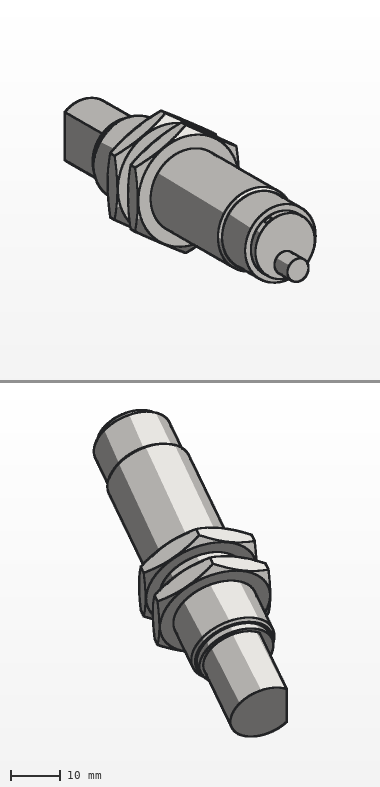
import cadquery as cq
import math

head_end = 15.8
collar_end = 17.3
body_end = 67.2
cap_end = 76.2
disc_end = 78.0
cable_end = 83.08

head_radius = 7.2
collar_radius = 8.0
body_radius = 9.0
cap_radius = 8.35
disc_radius = 7.0
body_chamfer = 0.6

flat_offset = 5.0

first_nut_start = 28.25
nut_pitch = 8.0
nut_count = 2
nut_thickness = 4.0
nut_across_flats = 24.0
hexagon_sides = 6
hexagon_half_angle = 180.0 / hexagon_sides
nut_face_diameter = 23.8
nut_chamfer_angle = 30.0

cable_radius = 2.5
cable_drop = 3.6

indicator_radius = 0.75
indicator_depth = 0.1
indicator_angle = 30.0


def cylinder_x(start, end, radius):
    """Solid cylinder on the X axis between two stations."""
    return cq.Workplane("YZ").workplane(offset=start).circle(radius).extrude(end - start)


def make_head():
    """Round sensing head with one flat facing -Y."""
    head = cylinder_x(0, head_end, head_radius)
    keep_width = flat_offset + head_radius
    keep = cq.Workplane("XY").box(
        head_end, keep_width, 2 * head_radius, centered=(False, False, True)
    )
    return head.intersect(keep.translate((0, -flat_offset, 0)))


def make_body():
    """Main barrel with both rims chamfered."""
    return cylinder_x(collar_end, body_end, body_radius).faces("<X or >X").chamfer(body_chamfer)


def make_nut(start):
    """Hex nut with corners along Z and its corners bevelled on both faces."""
    corner_radius = nut_across_flats / 2 / math.cos(math.radians(hexagon_half_angle))
    bevel_radius = nut_face_diameter / 2
    bevel_depth = (corner_radius - bevel_radius) * math.tan(math.radians(nut_chamfer_angle))
    hexagon = (
        cq.Workplane("YZ")
        .polygon(hexagon_sides, 2 * corner_radius)
        .extrude(nut_thickness)
        .rotate((0, 0, 0), (1, 0, 0), hexagon_half_angle)
    )
    envelope = (
        cq.Workplane("XY")
        .moveTo(0, 0)
        .lineTo(0, bevel_radius)
        .lineTo(bevel_depth, corner_radius)
        .lineTo(nut_thickness - bevel_depth, corner_radius)
        .lineTo(nut_thickness, bevel_radius)
        .lineTo(nut_thickness, 0)
        .close()
        .revolve(360, (0, 0, 0), (1, 0, 0))
    )
    return hexagon.intersect(envelope).translate((start, 0, 0))


def make_disc():
    """Rear disc with the indicator recess drilled radially into its rim."""
    disc = cylinder_x(cap_end, disc_end, disc_radius)
    recess = (
        cq.Workplane("XY")
        .workplane(offset=disc_radius - indicator_depth)
        .center((cap_end + disc_end) / 2, 0)
        .circle(indicator_radius)
        .extrude(2 * indicator_depth)
        .rotate((0, 0, 0), (1, 0, 0), indicator_angle)
    )
    return disc.cut(recess)


def make_cable():
    """Cable stub parallel to the axis, offset toward -Z."""
    return cylinder_x(disc_end, cable_end, cable_radius).translate((0, 0, -cable_drop))


result = make_head()
result = result.union(cylinder_x(head_end, collar_end, collar_radius))
result = result.union(make_body())
for index in range(nut_count):
    result = result.union(make_nut(first_nut_start + index * nut_pitch))
result = result.union(cylinder_x(body_end, cap_end, cap_radius))
result = result.union(make_disc())
result = result.union(make_cable())